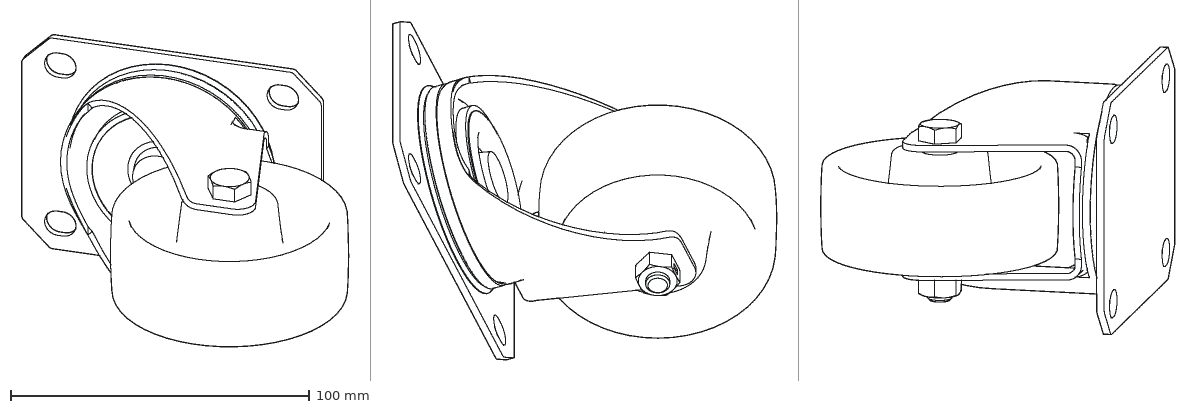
import cadquery as cq
import math


plate_length = 105.0
plate_width = 80.0
plate_thickness = 2.6
plate_corner_chamfer = 10.0
plate_corner_radius = 2.0
slot_length = 11.0
slot_width = 9.1
slot_half_spacing_x = 39.0
slot_half_spacing_z = 30.0
boss_radius = 34.5
boss_bottom_y = -4.8
boss_root_radius = 36.3
boss_root_y = -2.9
boss_neck_y = -4.0

ring_radius = 35.2
ring_bottom_y = -8.9

sheet = 2.2
fork_radius = 35.4
flange_y = -11.5
flange_radius = 40.0
race_inner_radius = 2.0
race_inflection_radius = 29.6
crown_flat_radius = 25.7
bore_radius = 16.5

leg_outer_z = 23.2
bend_radius = 5.2
leg_back_x = 36.8
leg_bottom_y = -71.5
leg_tip_x = 50.1
leg_front_x = 27.5
skirt_bottom_y = -14.2
skirt_corner_x = -27.5
skirt_corner_radius = 15.0
front_edge_bow = 1.6
leg_corner_radius = 6.0

cup_radius = 25.7
cup_seat_y = -15.8
cup_bulge_radius = 23.7
cup_rim_y = -16.2
cup_bottom_y = -17.6
cup_floor_y = -12.7
cup_floor_radius = 12.3
kingpin_radius = 10.0
kingpin_tip_radius = 9.1
kingpin_tip_y = -17.4

axle_x = 38.0
axle_y = -59.96
wheel_radius = 40.0
wheel_edge_radius = 39.5
wheel_half_width = 15.1
wheel_edge_fillet = 1.0
rim_inner_radius = 34.2
recess_floor_radius = 30.8
web_half_width = 2.3
hub_half_width = 19.2
hub_top_radius = 16.0
hub_root_radius = 18.0
hub_edge_fillet = 1.5
recess_fillet = 1.0
match_tolerance = 0.01
tube_radius = 6.1

bolt_radius = 4.0
bolt_tip_length = 2.2
bolt_tip_chamfer = 0.8
hex_flats = 13.0
head_height = 5.4
nut_height = 6.7
mark_width = 3.0
mark_height = 2.2
mark_depth = 0.5

race_outer_radius = race_inner_radius + sheet
race_center_radius = fork_radius - race_outer_radius
skirt_inner_radius = fork_radius - sheet
race_angle = math.asin((race_center_radius - race_inflection_radius) / race_inner_radius)
crown_outer_bend = (race_inflection_radius - crown_flat_radius) / math.sin(race_angle)
crown_inner_bend = crown_outer_bend - sheet
race_inflection_y = flange_y + race_inner_radius * math.cos(race_angle)
crown_bottom_y = race_inflection_y - crown_outer_bend * (1 - math.cos(race_angle))
shoulder_bottom_y = flange_y - bend_radius
leg_inner_z = leg_outer_z - sheet
hex_corners = hex_flats / math.cos(math.radians(30))


def revolved_about_y(profile):
    """Turn a closed (radius, y) profile about the swivel axis."""
    return profile.close().revolve(360, (0, 0, 0), (0, 1, 0))


def make_plate():
    plate = (
        cq.Workplane("XZ")
        .rect(plate_length, plate_width)
        .extrude(plate_thickness)
        .edges("|Y")
        .chamfer(plate_corner_chamfer)
        .edges("|Y")
        .fillet(plate_corner_radius)
    )
    slots = (
        cq.Workplane("XZ")
        .rect(2 * slot_half_spacing_x, 2 * slot_half_spacing_z, forConstruction=True)
        .vertices()
        .slot2D(slot_length, slot_width)
        .extrude(plate_thickness)
    )
    boss = revolved_about_y(
        cq.Workplane("XY")
        .moveTo(0, -plate_thickness)
        .lineTo(boss_root_radius, -plate_thickness)
        .lineTo(boss_root_radius, boss_root_y)
        .lineTo(boss_radius, boss_neck_y)
        .lineTo(boss_radius, boss_bottom_y)
        .lineTo(0, boss_bottom_y)
    )
    return plate.cut(slots).union(boss)


def make_dust_ring():
    """Ring that rests on the outer slope of the fork's ball channel."""
    rise = ring_bottom_y - flange_y
    lip_radius = race_center_radius + math.sqrt(race_outer_radius**2 - rise**2)
    return revolved_about_y(
        cq.Workplane("XY")
        .moveTo(race_center_radius, boss_bottom_y)
        .lineTo(ring_radius, boss_bottom_y)
        .lineTo(ring_radius, ring_bottom_y)
        .lineTo(lip_radius, ring_bottom_y)
        .radiusArc((race_center_radius, flange_y + race_outer_radius), -race_outer_radius)
    )


def make_crown():
    """Dished swivel head: a flat annulus with a raised ball channel around it."""
    upper_inflection = (
        race_inflection_radius - sheet * math.sin(race_angle),
        race_inflection_y + sheet * math.cos(race_angle),
    )
    return revolved_about_y(
        cq.Workplane("XY")
        .moveTo(bore_radius, crown_bottom_y)
        .lineTo(crown_flat_radius, crown_bottom_y)
        .radiusArc((race_inflection_radius, race_inflection_y), -crown_outer_bend)
        .radiusArc((race_center_radius, flange_y + race_inner_radius), race_inner_radius)
        .radiusArc((skirt_inner_radius, flange_y), race_inner_radius)
        .lineTo(fork_radius, flange_y)
        .radiusArc((race_center_radius, flange_y + race_outer_radius), -race_outer_radius)
        .radiusArc(upper_inflection, -race_outer_radius)
        .radiusArc((crown_flat_radius, crown_bottom_y + sheet), crown_inner_bend)
        .lineTo(bore_radius, crown_bottom_y + sheet)
    )


def fork_prism(inset, top_y):
    """Upright block bounded by the skirt, bend and leg surfaces, moved inward by `inset`."""
    radius = fork_radius - inset
    leg_z = leg_outer_z - inset
    side_radius = bend_radius + inset

    bend_distance = radius + side_radius
    bend_z = leg_z + side_radius
    bend_x = math.sqrt(bend_distance**2 - bend_z**2)
    touch_x = bend_x * radius / bend_distance
    touch_z = bend_z * radius / bend_distance
    return (
        cq.Workplane("XZ", origin=(0, top_y, 0))
        .moveTo(leg_tip_x, leg_z)
        .lineTo(bend_x, leg_z)
        .radiusArc((touch_x, touch_z), side_radius)
        .threePointArc((-radius, 0), (touch_x, -touch_z))
        .radiusArc((bend_x, -leg_z), side_radius)
        .lineTo(leg_tip_x, -leg_z)
        .close()
        .extrude(top_y - leg_bottom_y)
    )


def shoulder_envelope(inset):
    """The fork's block with its top edges bent, moved inward by `inset`."""
    block = fork_prism(inset, flange_y - inset)
    return block.faces(">Y").edges("not >X").fillet(bend_radius - inset)


def make_shoulders():
    """Flange behind the swivel head with the bends down to both legs."""
    zone = (
        cq.Workplane("XY", origin=(0, (flange_y + shoulder_bottom_y) / 2, 0))
        .box(2 * leg_tip_x, flange_y - shoulder_bottom_y, 3 * fork_radius)
        .intersect(make_side_outline())
    )
    cavity = cq.Workplane("XZ").circle(skirt_inner_radius).extrude(-shoulder_bottom_y)
    shell = shoulder_envelope(0).cut(shoulder_envelope(sheet)).intersect(zone)
    return shell.cut(cavity)


def make_side_wall(outer_faces):
    """Trim outer faces to the side outline and thicken them inward, which cuts the edges square."""
    outline = make_side_outline().val()
    walls = cq.Workplane("XY")
    for outer_face in outer_faces.vals():
        for trimmed_face in outer_face.intersect(outline).Faces():
            walls = walls.add(trimmed_face.thicken(-sheet))
    return walls.combine()


def make_side_outline():
    """Side outline of skirt, flange and legs as one thick block."""
    front_x = -1.1 * fork_radius
    outline = (
        cq.Workplane("XY")
        .moveTo(front_x, flange_y)
        .lineTo(front_x, skirt_bottom_y)
        .lineTo(skirt_corner_x, skirt_bottom_y)
        .sagittaArc((leg_front_x, leg_bottom_y), front_edge_bow)
        .lineTo(leg_tip_x, leg_bottom_y)
        .lineTo(leg_back_x, shoulder_bottom_y)
        .lineTo(leg_back_x, flange_y)
        .close()
        .extrude(1.5 * fork_radius, both=True)
    )
    skirt_corner = cq.selectors.NearestToPointSelector((skirt_corner_x, skirt_bottom_y, 0))
    outline = outline.edges("|Z and <Y").fillet(leg_corner_radius)
    outline = outline.edges("|Z").edges(skirt_corner).fillet(skirt_corner_radius)
    flange = cq.Workplane("XZ", origin=(0, flange_y, 0)).circle(flange_radius).extrude(sheet)
    return outline.union(flange)


def axle_cylinder(radius, z_from, z_to):
    return cq.Workplane("XY", origin=(axle_x, axle_y, z_from)).circle(radius).extrude(z_to - z_from)


def make_fork():
    skirt = make_side_wall(fork_prism(0, flange_y).faces("<X"))
    legs = make_side_wall(fork_prism(0, shoulder_bottom_y).faces("(not |Y) and (not >X) and (not <X)"))
    fork = make_crown().union(skirt).union(legs).union(make_shoulders())
    bolt_holes = axle_cylinder(bolt_radius, -leg_outer_z, leg_outer_z)
    return fork.cut(bolt_holes)


def make_lower_cup():
    """Lower ball cup, seated under the crown with a collar in the crown's bore."""
    middle_radius = (cup_bulge_radius + bore_radius) / 2
    collar_top_y = crown_bottom_y + sheet
    return revolved_about_y(
        cq.Workplane("XY")
        .moveTo(kingpin_radius, collar_top_y)
        .lineTo(bore_radius, collar_top_y)
        .lineTo(bore_radius, crown_bottom_y)
        .lineTo(cup_radius, crown_bottom_y)
        .lineTo(cup_radius, cup_seat_y)
        .lineTo(cup_bulge_radius, cup_seat_y)
        .lineTo(cup_bulge_radius, cup_rim_y)
        .threePointArc((middle_radius, cup_bottom_y), (bore_radius, cup_rim_y))
        .lineTo(cup_floor_radius, cup_floor_y)
        .lineTo(kingpin_radius, cup_floor_y)
    )


def make_kingpin():
    return revolved_about_y(
        cq.Workplane("XY")
        .moveTo(0, boss_bottom_y)
        .lineTo(kingpin_radius, boss_bottom_y)
        .lineTo(kingpin_radius, cup_floor_y)
        .lineTo(kingpin_tip_radius, kingpin_tip_y)
        .lineTo(0, kingpin_tip_y)
    )


def make_wheel():
    """One half of the wheel turned about its axis, then mirrored."""
    edge_z = wheel_half_width - wheel_edge_fillet
    drop = wheel_radius - wheel_edge_radius
    tread_radius = (edge_z**2 + drop**2) / (2 * drop)
    half = (
        cq.Workplane("XZ")
        .moveTo(tube_radius, 0)
        .lineTo(wheel_radius, 0)
        .radiusArc((wheel_edge_radius, edge_z), -tread_radius)
        .radiusArc((wheel_edge_radius - wheel_edge_fillet, wheel_half_width), -wheel_edge_fillet)
        .lineTo(rim_inner_radius, wheel_half_width)
        .lineTo(recess_floor_radius, web_half_width)
        .lineTo(hub_root_radius, web_half_width)
        .lineTo(hub_top_radius, hub_half_width)
        .lineTo(tube_radius, hub_half_width)
        .close()
        .revolve(360, (0, 0, 0), (0, 1, 0))
    )
    for radius, z, fillet_radius in [
        (hub_top_radius, hub_half_width, hub_edge_fillet),
        (rim_inner_radius, wheel_half_width, recess_fillet),
        (recess_floor_radius, web_half_width, recess_fillet),
        (hub_root_radius, web_half_width, recess_fillet),
    ]:
        rim = half.edges("%CIRCLE").filter(
            lambda edge: math.hypot(edge.radius() - radius, edge.Center().z - z) < match_tolerance
        )
        half = rim.fillet(fillet_radius)
    wheel = half.union(half.mirror("XY"), clean=False)
    return wheel.translate((axle_x, axle_y, 0))


def make_axle_tube():
    tube = axle_cylinder(tube_radius, -leg_inner_z, leg_inner_z)
    return tube.cut(axle_cylinder(bolt_radius, -leg_inner_z, leg_inner_z))


def make_hexagon(height):
    """Hexagon on the z = 0 plane, its corners bevelled at the far end."""
    bevel_height = (hex_corners - hex_flats) / 2 * math.tan(math.radians(30))
    hexagon = cq.Workplane("XY").polygon(6, hex_corners).extrude(height)
    bevel = (
        cq.Workplane("XY")
        .circle(hex_corners / 2)
        .extrude(height)
        .faces(">Z")
        .chamfer(bevel_height, (hex_corners - hex_flats) / 2)
    )
    return hexagon.intersect(bevel)


def make_bolt():
    tip_z = -leg_outer_z - nut_height - bolt_tip_length
    shank = axle_cylinder(bolt_radius, tip_z, leg_outer_z).faces("<Z").chamfer(bolt_tip_chamfer)
    head = make_hexagon(head_height).translate((axle_x, axle_y, leg_outer_z))
    return shank.union(head)


def make_nut():
    nut = make_hexagon(nut_height).mirror("XY")
    nut = nut.cut(cq.Workplane("XY").circle(bolt_radius).extrude(-nut_height))
    mark = cq.Workplane("XY").box(mark_width, 2 * mark_depth, mark_height)
    nut = nut.cut(mark.translate((0, -hex_flats / 2, -nut_height / 2)))
    return nut.translate((axle_x, axle_y, -leg_outer_z))


plate = make_plate()
dust_ring = make_dust_ring()
fork = make_fork()
lower_cup = make_lower_cup()
kingpin = make_kingpin()
wheel = make_wheel()
axle_tube = make_axle_tube()
bolt = make_bolt()
nut = make_nut()

result = cq.Compound.makeCompound([
    plate.val(),
    dust_ring.val(),
    fork.val(),
    lower_cup.val(),
    kingpin.val(),
    wheel.val(),
    axle_tube.val(),
    bolt.val(),
    nut.val(),
])